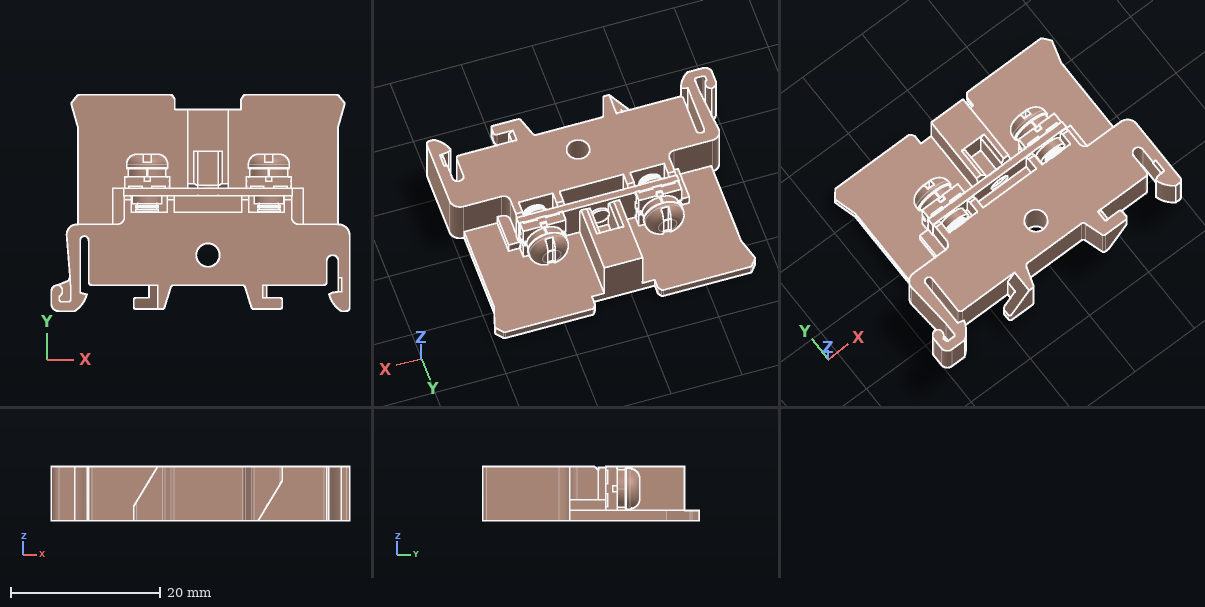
import cadquery as cq
import math


depth = 7.3
overall_height = 29.0
plate_thickness = 1.4
left_end = -21.0
right_end = 19.0
overlap = 1.0

shoulder_y = 11.65
belly_y = 3.48
belly_left = -16.0
belly_right = 15.93
belly_corner = 0.45
base_hole_diameter = 3.1
base_hole_y = 7.52

left_shoulder_radius = 1.4
left_leg_top_x = -18.95
left_slot_outer = -17.1
left_slot_top = 10.05
hook_corner = 1.0
hook_lip_y = 3.53
hook_lip_radius = 0.9
hook_cavity_left = -19.9
hook_cavity_right = -18.4
hook_cavity_floor = 1.27
hook_cavity_corner = 0.3
hook_bead_x = -19.5
hook_bead_y = 2.85
hook_bead_end_y = 2.0
hook_throat_y = 3.4
hook_web_thickness = 1.1
hook_web_outer_x = -18.7
hook_web_outer_y = 4.1
hook_web_top = 4.6
hook_web_top_x = -18.5

right_shoulder_radius = 1.5
right_slot_outer = 17.45
right_slot_top = 7.5
right_tip_radius = 0.5
leg_notch_width = 0.45
leg_notch_bottom = 2.63
leg_notch_top = 4.5
catch_tip_x = 16.2
catch_tip_y = 2.25
catch_bulge_x = 16.8
catch_bulge_y = 1.0
catch_base_x = 17.85
catch_shoulder_x = 16.6
catch_shoulder_y = 2.5

foot_bottom = 0.28
foot_toe_top = 1.83
foot_root_x = 4.88
foot_root_radius = 0.4
foot_heel_x = 5.88
foot_stem_x = 7.9
foot_stem_front_x = 7.33
foot_toe_x = 9.97
foot_slope_inner_x = 6.72
foot_slope_start = 1.9
foot_corner = 0.35
foot_embed = 0.5

plate_half_width = 17.42
plate_ear_x = 18.35
plate_ear_y = 27.85
plate_ear_bottom = 24.6
plate_notch_half_width = 4.42
plate_notch_y = 27.05
plate_corner = 0.4
plate_corner_drop = 0.6
plate_edge_radius = 0.3
post_half_width = 2.7
post_foot_chamfer = 0.6
post_foot_chamfer_depth = 1.2
post_pocket_half_width = 1.9
post_pocket_inner_half_width = 1.35
post_pocket_top = 21.4

ledge_half_width = 12.73
ledge_z = 2.8
neck_half_width = 11.2
neck_fillet = 0.95
neck_chamfer = 0.55
pocket_bottom = 13.28
center_pocket_half_width = 4.5
screw_pocket_x = 7.85
screw_pocket_width = 4.8

bar_half_width = 11.3
bar_bottom = 15.5
bar_top = 16.5
bar_front_gap = 0.15
dimple_diameter = 2.7
dimple_height = 0.35
screw_x = 8.15
screw_z = 4.3
collar_diameter = 3.95
collar_length = 1.1
thread_diameter = 3.0
thread_groove = 0.2
thread_pitch = 0.5
clamp_width = 6.0
clamp_top = 18.0
clamp_relief_width = 1.8
clamp_relief_offset = 1.55
clamp_relief_height = 0.25
clamp_notch_width = 0.8
clamp_notch_height = 0.6
clamp_cut_reach = 0.3
spring_washer_diameter = 5.05
spring_washer_height = 1.1
spring_washer_split = 0.15
head_diameter = 5.5
head_height = 1.95
head_rim_height = 0.6
head_flat_diameter = 2.6
head_edge_step = 0.1
head_slot_width = 1.05
head_slot_depth = 1.1


def box(x_min, x_max, y_min, y_max, z_min, z_max):
    """Axis-aligned block between two limits on each axis."""
    size = (x_max - x_min, y_max - y_min, z_max - z_min)
    return cq.Workplane("XY").box(*size, centered=False).translate((x_min, y_min, z_min))


def slab(points, z_max=depth):
    """Straight-sided outline in XY, extruded from the back face to z_max."""
    return cq.Workplane("XY").polyline(points).close().extrude(z_max)


def prism_along_y(xz_points, y_min, y_max):
    """Straight-sided outline in XZ, extruded from y_min to y_max."""
    profile = cq.Workplane("XZ").workplane(offset=-y_min).polyline(xz_points).close()
    return profile.extrude(y_min - y_max)


def cylinder_y(x, diameter, y_min, y_max):
    """Cylinder along Y on the screw axis height."""
    plane = cq.Workplane("XZ", origin=(x, y_min, screw_z))
    return plane.circle(diameter / 2).extrude(y_min - y_max)


def make_base():
    """Full-depth body with both legs, their slots and the hook."""
    left_slot_radius = (belly_left - left_slot_outer) / 2
    right_slot_radius = (right_slot_outer - belly_right) / 2
    left_slot_arc_y = left_slot_top - left_slot_radius
    right_slot_arc_y = right_slot_top - right_slot_radius
    hook_lip_x = left_end + hook_lip_radius
    outline = (
        cq.Workplane("XY")
        .moveTo(left_leg_top_x, shoulder_y - left_shoulder_radius)
        .radiusArc((left_leg_top_x + left_shoulder_radius, shoulder_y), left_shoulder_radius)
        .lineTo(right_end - right_shoulder_radius, shoulder_y)
        .radiusArc((right_end, shoulder_y - right_shoulder_radius), right_shoulder_radius)
        .lineTo(right_end, right_tip_radius)
        .radiusArc((right_end - right_tip_radius, 0), right_tip_radius)
        .lineTo(catch_base_x, 0)
        .threePointArc((catch_bulge_x, catch_bulge_y), (catch_tip_x, catch_tip_y))
        .lineTo(catch_shoulder_x, catch_shoulder_y)
        .lineTo(right_slot_outer, leg_notch_bottom)
        .lineTo(right_slot_outer, right_slot_arc_y)
        .radiusArc((belly_right, right_slot_arc_y), -right_slot_radius)
        .lineTo(belly_right, belly_y + belly_corner)
        .radiusArc((belly_right - belly_corner, belly_y), belly_corner)
        .lineTo(belly_left + belly_corner, belly_y)
        .radiusArc((belly_left, belly_y + belly_corner), belly_corner)
        .lineTo(belly_left, left_slot_arc_y)
        .radiusArc((left_slot_outer, left_slot_arc_y), -left_slot_radius)
        .lineTo(left_slot_outer, catch_shoulder_y)
        .lineTo(-catch_tip_x, catch_tip_y)
        .threePointArc((-catch_bulge_x, catch_bulge_y), (-catch_base_x, 0))
        .lineTo(left_end + hook_corner, 0)
        .radiusArc((left_end, hook_corner), hook_corner)
        .lineTo(left_end, hook_lip_y - hook_lip_radius)
        .radiusArc((hook_lip_x, hook_lip_y), hook_lip_radius)
        .threePointArc((hook_bead_x, hook_bead_y), (hook_cavity_left, hook_bead_end_y))
        .lineTo(hook_cavity_left, hook_cavity_floor + hook_cavity_corner)
        .radiusArc((hook_cavity_left + hook_cavity_corner, hook_cavity_floor), -hook_cavity_corner)
        .lineTo(hook_cavity_right - hook_cavity_corner, hook_cavity_floor)
        .radiusArc((hook_cavity_right, hook_cavity_floor + hook_cavity_corner), -hook_cavity_corner)
        .lineTo(hook_cavity_right, hook_throat_y)
        .close()
    )
    base = outline.extrude(depth)
    hook_web = slab(
        [
            (hook_lip_x, hook_lip_y),
            (hook_web_outer_x, hook_web_outer_y),
            (hook_web_top_x, hook_web_top),
            (hook_cavity_right, hook_web_top),
            (hook_cavity_right, hook_cavity_floor),
            (hook_lip_x, hook_cavity_floor),
        ],
        z_max=hook_web_thickness,
    )
    leg_notch = prism_along_y(
        [
            (right_slot_outer, depth),
            (right_slot_outer + leg_notch_width, depth),
            (right_slot_outer, depth - leg_notch_width),
        ],
        leg_notch_bottom,
        leg_notch_top,
    )
    base_hole = cq.Workplane("XY").center(0, base_hole_y).circle(base_hole_diameter / 2).extrude(depth)
    return base.union(hook_web).cut(leg_notch).cut(base_hole)


def make_right_foot():
    """Rail foot whose toe is full at the front and sloped away towards the back."""
    foot = slab(
        [
            (foot_root_x, belly_y + foot_embed),
            (foot_root_x, belly_y),
            (foot_heel_x, foot_bottom),
            (foot_toe_x, foot_bottom),
            (foot_toe_x, foot_toe_top),
            (foot_stem_x, foot_toe_top),
            (foot_stem_x, belly_y + foot_embed),
        ]
    )
    foot = foot.edges("|Z").edges(">X or <Y").fillet(foot_corner)
    toe_slope = prism_along_y(
        [
            (foot_slope_inner_x, 0),
            (foot_toe_x, depth - foot_slope_start),
            (foot_toe_x + overlap, depth - foot_slope_start),
            (foot_toe_x + overlap, 0),
        ],
        0,
        belly_y,
    )
    return foot.cut(toe_slope)


def make_feet():
    """Two feet, one the other turned half about Y, with a chamfer on the right stem."""
    right_foot = make_right_foot()
    left_foot = right_foot.rotate((0, 0, depth / 2), (0, 1, depth / 2), 180)
    stem_chamfer = prism_along_y(
        [
            (foot_stem_front_x, depth),
            (foot_stem_x, depth),
            (foot_stem_x, depth - (foot_stem_x - foot_stem_front_x)),
        ],
        foot_toe_top,
        belly_y,
    )
    return left_foot.union(right_foot.cut(stem_chamfer))


def make_plate():
    """Thin back plate with flared ears and a notch in its upper edge."""
    right_half = [
        (plate_half_width, shoulder_y - overlap),
        (plate_half_width, plate_ear_bottom),
        (plate_ear_x, plate_ear_y),
        (plate_half_width, overall_height),
        (plate_notch_half_width + plate_corner, overall_height),
        (plate_notch_half_width, overall_height - plate_corner_drop),
        (plate_notch_half_width, plate_notch_y),
    ]
    left_half = [(-x, y) for x, y in reversed(right_half)]
    plate = slab(right_half + left_half, z_max=plate_thickness)
    outer_corners = cq.selectors.BoxSelector(
        (-plate_ear_x - overlap, plate_ear_y - plate_edge_radius, -overlap),
        (plate_ear_x + overlap, overall_height + overlap, depth),
    )
    return plate.edges("|Z").edges(outer_corners).fillet(plate_edge_radius)


def make_post():
    """Central post standing on the plate above the bar, with a chamfered-mouth pocket."""
    post = box(-post_half_width, post_half_width, bar_top, plate_notch_y, 0, depth)
    foot_chamfer = (
        cq.Workplane("YZ", origin=(-post_half_width, 0, 0))
        .polyline(
            [
                (bar_top, depth),
                (bar_top + post_foot_chamfer, depth),
                (bar_top, depth - post_foot_chamfer_depth),
            ]
        )
        .close()
        .extrude(2 * post_half_width)
    )
    lead_z = depth - (post_pocket_half_width - post_pocket_inner_half_width)
    pocket = prism_along_y(
        [
            (-post_pocket_half_width, depth),
            (post_pocket_half_width, depth),
            (post_pocket_inner_half_width, lead_z),
            (post_pocket_inner_half_width, plate_thickness),
            (-post_pocket_inner_half_width, plate_thickness),
            (-post_pocket_inner_half_width, lead_z),
        ],
        bar_top,
        post_pocket_top,
    )
    return post.cut(foot_chamfer).cut(pocket)


def make_neck():
    """Raised middle of the base that carries the bar, standing on a wider rear ledge."""
    ledge = box(-ledge_half_width, ledge_half_width, shoulder_y - overlap, bar_top, 0, ledge_z)
    root = neck_half_width + neck_fillet
    outline = (
        cq.Workplane("XY")
        .moveTo(-root, shoulder_y - overlap)
        .lineTo(-root, shoulder_y)
        .radiusArc((-neck_half_width, shoulder_y + neck_fillet), -neck_fillet)
        .lineTo(-neck_half_width, bar_bottom)
        .lineTo(neck_half_width, bar_bottom)
        .lineTo(neck_half_width, shoulder_y + neck_fillet)
        .radiusArc((root, shoulder_y), -neck_fillet)
        .lineTo(root, shoulder_y - overlap)
        .close()
    )
    neck = outline.extrude(depth)
    neck = neck.faces(">Y").edges(">Z").chamfer(neck_chamfer)
    neck = neck.union(ledge)
    pockets = [(0, center_pocket_half_width)]
    for side in (-1, 1):
        pockets.append((side * screw_pocket_x, screw_pocket_width / 2))
    for x, half_width in pockets:
        neck = neck.cut(box(x - half_width, x + half_width, pocket_bottom, bar_bottom, ledge_z, depth))
    return neck


def make_bar():
    """Metal bar lying on the ledge, with a pressed dimple in the middle."""
    bar = box(-bar_half_width, bar_half_width, bar_bottom, bar_top, ledge_z, depth - bar_front_gap)
    dimple = cylinder_y(0, dimple_diameter, bar_top, bar_top + dimple_height)
    recess = cylinder_y(0, dimple_diameter, bar_bottom, bar_bottom + dimple_height)
    return bar.union(dimple).cut(recess)


def make_clamp(x):
    """Square clamp washer with notched upper edges and relieved underside."""
    half = clamp_width / 2
    left = x - half
    right = x + half
    clamp = box(left, right, bar_top, clamp_top, plate_thickness, depth)

    def cut_sides(offset, width, y_min, y_max):
        """Shallow cuts at the same offset from centre in the front, left and right sides."""
        x_min = x + offset - width / 2
        z_min = screw_z + offset - width / 2
        reach = clamp_cut_reach
        cuts = box(x_min, x_min + width, y_min, y_max, depth - reach, depth)
        cuts = cuts.union(box(left, left + reach, y_min, y_max, z_min, z_min + width))
        cuts = cuts.union(box(right - reach, right, y_min, y_max, z_min, z_min + width))
        return clamp.cut(cuts)

    clamp = cut_sides(0, clamp_notch_width, clamp_top - clamp_notch_height, clamp_top)
    for offset in (-clamp_relief_offset, clamp_relief_offset):
        clamp = cut_sides(offset, clamp_relief_width, bar_top, bar_top + clamp_relief_height)
    return clamp


def make_screw(x):
    """Domed slotted screw with spring washer above the bar, collar and thread below it."""
    head_bottom = clamp_top + spring_washer_height
    head_top = head_bottom + head_height
    rim_top = head_bottom + head_rim_height
    head_radius = head_diameter / 2
    flat_radius = head_flat_diameter / 2
    middle_radius = flat_radius + (head_radius - flat_radius) * math.sin(math.pi / 4)
    middle_y = rim_top + (head_top - rim_top) * math.cos(math.pi / 4)
    head = (
        cq.Workplane("XY")
        .moveTo(0, head_bottom)
        .lineTo(head_radius - head_edge_step, head_bottom)
        .lineTo(head_radius, head_bottom + head_edge_step)
        .lineTo(head_radius, rim_top)
        .threePointArc((middle_radius, middle_y), (flat_radius, head_top))
        .lineTo(0, head_top)
        .close()
        .revolve(360, (0, 0, 0), (0, 1, 0))
        .translate((x, 0, screw_z))
    )
    slot_half = head_slot_width / 2
    head = head.cut(box(x - slot_half, x + slot_half, head_top - head_slot_depth, head_top, 0, depth))

    washer = cylinder_y(x, spring_washer_diameter, clamp_top, head_bottom)
    split_half = spring_washer_split / 2
    washer = washer.cut(
        box(x - split_half, x + split_half, clamp_top, head_bottom, screw_z + thread_diameter / 2, depth)
    )

    collar_bottom = bar_bottom - collar_length
    collar = cylinder_y(x, collar_diameter, collar_bottom, bar_bottom)
    core = cylinder_y(x, thread_diameter - 2 * thread_groove, pocket_bottom, collar_bottom)
    screw = head.union(washer).union(collar).union(core)
    ridge_count = math.floor((collar_bottom - pocket_bottom) / thread_pitch)
    for index in range(ridge_count):
        ridge_top = collar_bottom - (index + 0.5) * thread_pitch
        screw = screw.union(cylinder_y(x, thread_diameter, ridge_top - thread_pitch / 2, ridge_top))
    return screw


def make_base_with_feet():
    """Base and feet joined, with rounded inner corners where the feet meet the underside."""
    body = make_base().union(make_feet())
    reach = foot_root_radius / 2
    roots = cq.selectors.BoxSelector(
        (-foot_root_x - reach, belly_y - reach, -overlap),
        (foot_root_x + reach, belly_y + reach, depth + overlap),
    )
    return body.edges("|Z").edges(roots).fillet(foot_root_radius)


result = make_base_with_feet().union(make_plate()).union(make_post()).union(make_neck())
result = result.union(make_bar())
for side in (-1, 1):
    result = result.union(make_clamp(side * screw_x)).union(make_screw(side * screw_x))